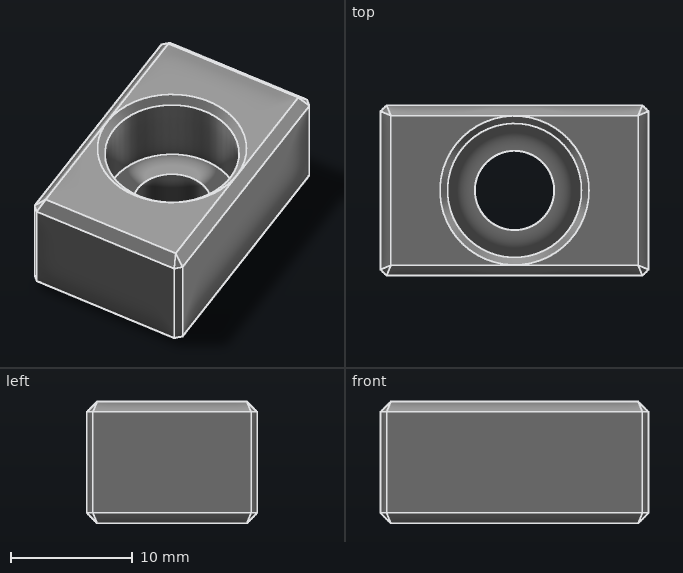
import cadquery as cq
import math

length = 22.0
width = 14.0
height = 10.0
chamfer = 0.85

corner_cut = (2 - math.sqrt(2)) * chamfer
across_corners = (length + width - 2 * corner_cut) / math.sqrt(2)

through_diameter = 6.5
bore_diameter = 11.0
bore_depth = 6.5
bore_chamfer = 0.62


def chamfered_bar(span, run, angle):
    """Bar along its own Y, with its four long edges chamfered, turned about Z."""
    bar = cq.Workplane("XY").box(span, run, height).edges("|Y").chamfer(chamfer)
    return bar.rotate((0, 0, 0), (0, 0, 1), angle)


def make_block():
    """Block bounded by the side faces and the diagonal corner faces."""
    ample_run = 2 * length
    block = chamfered_bar(length, ample_run, 0)
    block = block.intersect(chamfered_bar(width, ample_run, 90))
    for angle in (45, -45):
        block = block.intersect(chamfered_bar(across_corners, ample_run, angle))
    return block


def make_stepped_hole():
    """Through hole with a wide upper bore and a chamfered mouth, on the Z axis."""
    top = height / 2
    through_radius = through_diameter / 2
    bore_radius = bore_diameter / 2
    profile = [
        (0, -top),
        (through_radius, -top),
        (through_radius, top - bore_depth),
        (bore_radius, top - bore_depth),
        (bore_radius, top - bore_chamfer),
        (bore_radius + bore_chamfer, top),
        (0, top),
    ]
    return cq.Workplane("XZ").polyline(profile).close().revolve(360, (0, 0), (0, 1))


result = make_block().cut(make_stepped_hole())